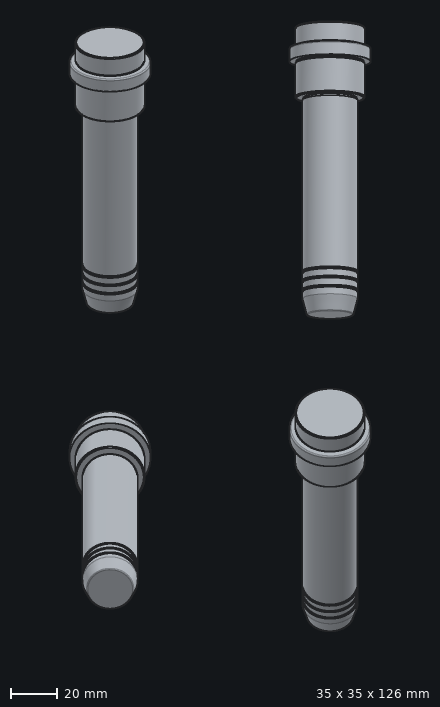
import cadquery as cq
import math

total_height = 126.0
head_radius = 30.0 / 2
collar_radius = 35.0 / 2
shank_radius = 24.0 / 2

head_height = 9.0
collar_height = 6.0
body_height = 16.0
collar_top = total_height - head_height
collar_bottom = collar_top - collar_height
shoulder = collar_bottom - body_height

edge_break = 0.5
collar_round = 0.6
neck_depth = 0.4
neck_slope = 0.8
shank_neck_slope = 0.9
neck_height = 1.0
head_neck_height = 0.6

taper_height = 7.0
taper_angle = 15.0
tip_radius = shank_radius - taper_height * math.tan(math.radians(taper_angle))

groove_count = 3
groove_pitch = 4.0
groove_width = 1.0
groove_depth = 0.4
lowest_groove = 10.0

cutter_margin = 1.3


def cylinder(radius, bottom, top):
    """Cylinder about Z between two heights."""
    return cq.Workplane("XY").workplane(offset=bottom).circle(radius).extrude(top - bottom)


def revolved(profile):
    """Solid of revolution about Z from (radius, height) points."""
    return cq.Workplane("XZ").polyline(profile).close().revolve(360, (0, 0), (0, 1))


def v_groove(radius, bottom, width, depth):
    """Ring cutter with a V-shaped section opening at the given radius."""
    outside = collar_radius + cutter_margin
    return revolved([
        (outside, bottom),
        (radius, bottom),
        (radius - depth, bottom + width / 2),
        (radius, bottom + width),
        (outside, bottom + width),
    ])


def relief_neck(radius, bottom, width, depth, upper_slope=0.0, lower_slope=0.0):
    """Ring cutter for a relief neck whose walls may slope; slopes are axial lengths."""
    top = bottom + width
    floor_radius = radius - depth
    outside = collar_radius + cutter_margin
    profile = [
        (outside, bottom),
        (radius, bottom),
        (floor_radius, bottom + lower_slope),
        (floor_radius, top - upper_slope),
        (radius, top),
        (outside, top),
    ]
    return revolved(profile)


shank_profile = [
    (0, 0),
    (tip_radius, 0),
    (shank_radius, taper_height),
    (shank_radius, shoulder),
    (0, shoulder),
]
shank = revolved(shank_profile)
shank = shank.faces("<Z").edges().fillet(edge_break)

body = cylinder(head_radius, shoulder, collar_bottom).faces("<Z").edges().chamfer(edge_break)
collar = cylinder(collar_radius, collar_bottom, collar_top).faces(">Z").edges().fillet(collar_round)
head = cylinder(head_radius, collar_top, total_height).faces(">Z").edges().chamfer(edge_break)

head = head.cut(relief_neck(head_radius, collar_top, head_neck_height, neck_depth, upper_slope=neck_depth))
body = body.cut(
    relief_neck(head_radius, collar_bottom - neck_height, neck_height, neck_depth, lower_slope=neck_slope)
)
shank = shank.cut(
    relief_neck(shank_radius, shoulder - neck_height, neck_height, neck_depth, lower_slope=shank_neck_slope)
)

for index in range(groove_count):
    groove_bottom = lowest_groove + index * groove_pitch
    shank = shank.cut(v_groove(shank_radius, groove_bottom, groove_width, groove_depth))

result = shank.union(body).union(collar).union(head)